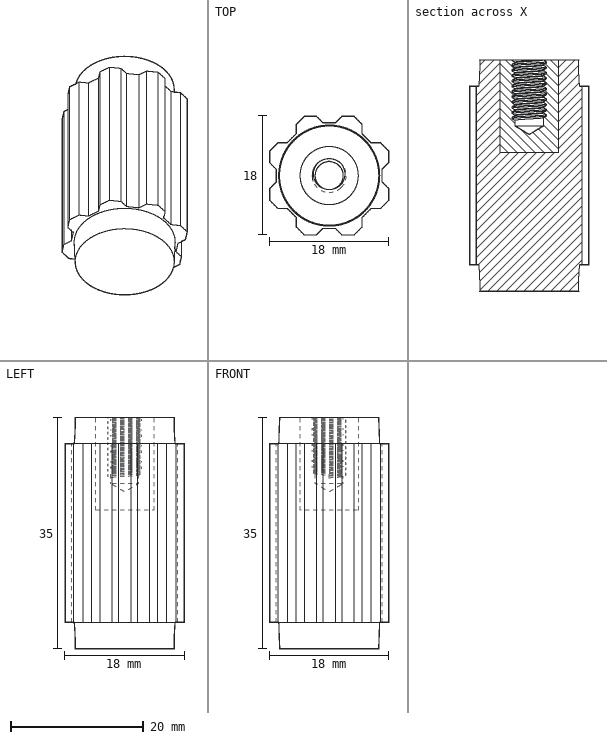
import cadquery as cq
import math

total_length = 35.0
end_boss_length = 4.0
fluted_length = total_length - 2 * end_boss_length

side_count = 8
across_flats = 18.0
groove_depth = 1.0
groove_floor_width = 1.9
groove_mouth_width = groove_floor_width + 2 * groove_depth

boss_tip_diameter = 15.0
boss_draft_angle = 2.0

insert_diameter = 8.8
insert_length = 14.0
hole_depth = 10.0
drill_point_angle = 118.0

thread_minor_diameter = 4.23
thread_major_diameter = 5.12
thread_pitch = 0.8
thread_turns_in_hole = 11
thread_turns_above = 1
thread_flank_angle = 60.0
thread_crest_width = thread_pitch / 8
thread_exit_angle = 90.0
thread_run_in = 0.05


def octagon_prism(z_bottom, height):
    corner_diameter = across_flats / math.cos(math.pi / side_count)
    return (
        cq.Workplane("XY", origin=(0, 0, z_bottom))
        .transformed(rotate=(0, 0, 180 / side_count))
        .polygon(side_count, corner_diameter)
        .extrude(height)
    )


def axial_groove(z_bottom, height):
    """Trapezoidal cutter that opens through the flat on the +X side."""
    flat_x = across_flats / 2
    floor_x = flat_x - groove_depth
    return (
        cq.Workplane("XY", origin=(0, 0, z_bottom))
        .polyline(
            [
                (floor_x, -groove_floor_width / 2),
                (flat_x, -groove_mouth_width / 2),
                (flat_x, groove_mouth_width / 2),
                (floor_x, groove_floor_width / 2),
            ]
        )
        .close()
        .extrude(height)
    )


def drafted_core():
    """Round core whose two ends form the bosses."""
    tip_radius = boss_tip_diameter / 2
    base_radius = tip_radius + end_boss_length * math.tan(math.radians(boss_draft_angle))
    return (
        cq.Workplane("XZ")
        .polyline(
            [
                (0, 0),
                (tip_radius, 0),
                (base_radius, end_boss_length),
                (base_radius, end_boss_length + fluted_length),
                (tip_radius, total_length),
                (0, total_length),
            ]
        )
        .close()
        .revolve(360, (0, 0, 0), (0, 1, 0))
    )


def insert_blank():
    return (
        cq.Workplane("XY", origin=(0, 0, total_length - insert_length))
        .circle(insert_diameter / 2)
        .extrude(insert_length)
    )


def drilled_hole():
    """Blind hole with a conical drill point."""
    radius = thread_minor_diameter / 2
    point_depth = radius / math.tan(math.radians(drill_point_angle / 2))
    shoulder_z = total_length - hole_depth
    return (
        cq.Workplane("XZ")
        .polyline(
            [
                (0, total_length),
                (radius, total_length),
                (radius, shoulder_z),
                (0, shoulder_z - point_depth),
            ]
        )
        .close()
        .revolve(360, (0, 0, 0), (0, 1, 0))
    )


def thread_turn():
    """Cutter for one full turn of the groove, climbing one pitch from Z = 0."""
    inner_radius = thread_minor_diameter / 2 - thread_run_in
    root_radius = thread_major_diameter / 2
    flank_slope = math.tan(math.radians(thread_flank_angle / 2))
    thread_depth = (thread_major_diameter - thread_minor_diameter) / 2
    mouth_half_width = (thread_pitch - thread_crest_width) / 2
    root_half_width = mouth_half_width - thread_depth * flank_slope
    inner_half_width = mouth_half_width + thread_run_in * flank_slope

    path = cq.Wire.makeHelix(thread_pitch, thread_pitch, root_radius, lefthand=True)
    turn = (
        cq.Workplane("XZ")
        .polyline(
            [
                (inner_radius, -inner_half_width),
                (root_radius, -root_half_width),
                (root_radius, root_half_width),
                (inner_radius, inner_half_width),
            ]
        )
        .close()
        .sweep(cq.Workplane(path), isFrenet=True)
    )
    return turn.rotate((0, 0, 0), (0, 0, 1), thread_exit_angle)


grip = octagon_prism(end_boss_length, fluted_length)
for index in range(side_count):
    groove = axial_groove(end_boss_length, fluted_length)
    grip = grip.cut(groove.rotate((0, 0, 0), (0, 0, 1), index * 360 / side_count))
insulator = grip.union(drafted_core()).cut(insert_blank())

threaded_insert = insert_blank().cut(drilled_hole())
single_turn = thread_turn()
for index in range(-thread_turns_in_hole, thread_turns_above):
    turn_z = total_length + index * thread_pitch
    threaded_insert = threaded_insert.cut(single_turn.translate((0, 0, turn_z)))

result = cq.Compound.makeCompound([insulator.solids().val(), threaded_insert.solids().val()])